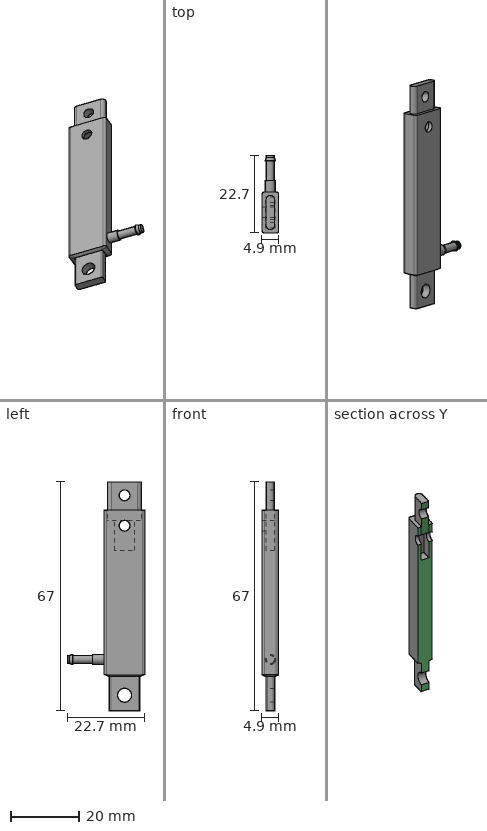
import cadquery as cq

body_thickness = 4.9
body_width = 12.05
body_corner_radius = 0.75
body_bottom = 10.05
body_top = 58.7

tongue_thickness = 2.6
tongue_width = 9.0
tongue_edge_radius = 0.5
tongue_hole_diameter = 4.0
tongue_hole_z = 4.55
slope_margin = 0.1
slope_angle_from_vertical = 68
slope_height = 1.35

blade_thickness = 2.4
blade_width = 10.05
blade_top = 67.0
cross_hole_diameter = 3.1
blade_hole_z = 63.05
housing_hole_z = 54.15
blade_bottom = housing_hole_z + cross_hole_diameter / 2
cavity_width = 5.9
cavity_bottom = 46.9

barb_z = 15.0
barb_base_diameter = 3.0
barb_neck_diameter = 2.4
barb_length = 10.65
barb_base_length = 3.3
barb_lip_start = 9.0
barb_lip_width = 0.2
barb_cone_end = 10.05


def upright_box(thickness, width, bottom, top):
    return (
        cq.Workplane("XY")
        .workplane(offset=bottom)
        .rect(thickness, width)
        .extrude(top - bottom)
    )


def cross_hole(diameter, z):
    """Cutter along X, long enough to pass through the whole housing."""
    return cq.Workplane("YZ").center(0, z).circle(diameter / 2).extrude(body_thickness, both=True)


def make_body_block():
    block = upright_box(body_thickness, body_width, body_bottom, body_top)
    block = block.edges("|Z").fillet(body_corner_radius)
    sloped_end = (
        cq.Workplane("XY")
        .workplane(offset=body_bottom)
        .rect(tongue_thickness + 2 * slope_margin, tongue_width + 2 * slope_margin)
        .extrude(slope_height, taper=-slope_angle_from_vertical)
    )
    straight_part = upright_box(body_thickness, body_width, body_bottom + slope_height, body_top)
    return block.intersect(sloped_end.union(straight_part))


def make_tongue():
    tongue = upright_box(tongue_thickness, tongue_width, 0, body_bottom)
    tongue = tongue.edges("|Z").fillet(tongue_edge_radius)
    return tongue.cut(cross_hole(tongue_hole_diameter, tongue_hole_z))


def make_barb():
    """Half profile of (distance from the axis, distance along +Y), revolved about the barb axis."""
    base_radius = barb_base_diameter / 2
    neck_radius = barb_neck_diameter / 2
    face_y = body_width / 2
    profile = [
        (0, face_y),
        (base_radius, face_y),
        (base_radius, face_y + barb_base_length),
        (neck_radius, face_y + barb_base_length),
        (neck_radius, face_y + barb_lip_start),
        (base_radius, face_y + barb_lip_start),
        (base_radius, face_y + barb_lip_start + barb_lip_width),
        (neck_radius, face_y + barb_cone_end),
        (neck_radius, face_y + barb_length),
        (0, face_y + barb_length),
    ]
    barb = cq.Workplane("XY").polyline(profile).close().revolve(360, (0, 0, 0), (0, 1, 0))
    return barb.translate((0, 0, barb_z))


def full_round_strip(bottom, top):
    """Upright strip with half-round long edges: the shape of both the blade and its slot."""
    return (
        cq.Workplane("XY")
        .workplane(offset=bottom)
        .slot2D(blade_width, blade_thickness, 90)
        .extrude(top - bottom)
    )


def make_housing():
    housing = make_body_block().union(make_tongue()).union(make_barb())
    housing = housing.cut(full_round_strip(blade_bottom, body_top))
    housing = housing.cut(upright_box(blade_thickness, cavity_width, cavity_bottom, blade_bottom))
    return housing.cut(cross_hole(cross_hole_diameter, housing_hole_z))


def make_blade():
    blade = full_round_strip(blade_bottom, blade_top)
    return blade.cut(cross_hole(cross_hole_diameter, blade_hole_z))


housing = make_housing()
blade = make_blade()
result = cq.Compound.makeCompound([housing.val(), blade.val()])